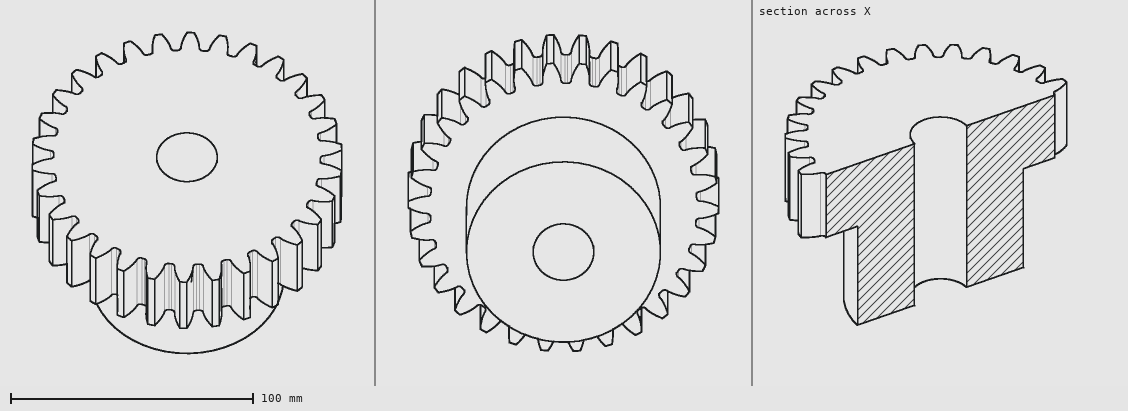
import cadquery as cq
import math

gear_module = 4.0
tooth_count = 30
pressure_angle = 20.0
face_width = 32.0

hub_diameter = 80.0
hub_length = 50.0
bore_diameter = 25.0

addendum = gear_module
dedendum = 1.25 * gear_module
fillet_radius = 0.38 * gear_module
flank_intervals = 6

pitch_radius = gear_module * tooth_count / 2
base_radius = pitch_radius * math.cos(math.radians(pressure_angle))
tip_radius = pitch_radius + addendum
root_radius = pitch_radius - dedendum
total_length = hub_length + face_width

fillet_center_radius = root_radius + fillet_radius
flank_normal_length = math.sqrt(fillet_center_radius**2 - base_radius**2) - fillet_radius
flank_start_radius = math.hypot(base_radius, flank_normal_length)

tooth_pitch_angle = 2 * math.pi / tooth_count
half_tooth_at_pitch = tooth_pitch_angle / 4


def involute_angle(radius):
    """Polar angle swept by the involute between the base circle and a radius."""
    roll = math.sqrt((radius / base_radius) ** 2 - 1)
    return roll - math.atan(roll)


def half_tooth_angle(radius):
    """Half of the angle a tooth fills at a radius on its involute flank."""
    return half_tooth_at_pitch + involute_angle(pitch_radius) - involute_angle(radius)


def polar(radius, angle):
    return (radius * math.cos(angle), radius * math.sin(angle))


def flank_radii():
    """Radii from fillet to tip, closer together near the fillet where the flank curves most."""
    span = tip_radius - flank_start_radius
    return [flank_start_radius + span * (i / flank_intervals) ** 2 for i in range(flank_intervals + 1)]


def root_fillet_points(tooth_angle, side):
    """Root end and middle point of the fillet on one side (-1 or +1) of a tooth."""
    flank_offset = fillet_radius / base_radius - involute_angle(fillet_center_radius)
    center_angle = tooth_angle + side * (half_tooth_angle(base_radius) + flank_offset)
    center_x, center_y = polar(fillet_center_radius, center_angle)
    root_end = polar(root_radius, center_angle)
    flank_end = polar(flank_start_radius, tooth_angle + side * half_tooth_angle(flank_start_radius))
    middle_x = (root_end[0] + flank_end[0]) / 2 - center_x
    middle_y = (root_end[1] + flank_end[1]) / 2 - center_y
    reach = fillet_radius / math.hypot(middle_x, middle_y)
    middle = (center_x + reach * middle_x, center_y + reach * middle_y)
    return root_end, middle


def add_tooth(outline, tooth_angle):
    """Draw one tooth counter-clockwise, then the root arc up to the next tooth."""
    radii = flank_radii()
    rising_flank = [polar(r, tooth_angle - half_tooth_angle(r)) for r in radii]
    falling_flank = [polar(r, tooth_angle + half_tooth_angle(r)) for r in reversed(radii)]
    _, fillet_in = root_fillet_points(tooth_angle, -1)
    root_start, fillet_out = root_fillet_points(tooth_angle, 1)
    next_root_end, _ = root_fillet_points(tooth_angle + tooth_pitch_angle, -1)
    root_middle = polar(root_radius, tooth_angle + tooth_pitch_angle / 2)

    outline = outline.threePointArc(fillet_in, rising_flank[0])
    outline = outline.spline(rising_flank[1:], includeCurrent=True)
    outline = outline.threePointArc(polar(tip_radius, tooth_angle), falling_flank[0])
    outline = outline.spline(falling_flank[1:], includeCurrent=True)
    outline = outline.threePointArc(fillet_out, root_start)
    return outline.threePointArc(root_middle, next_root_end)


def make_toothed_rim():
    """Toothed disc on top of the hub, with one tooth centred on +X."""
    first_point, _ = root_fillet_points(0.0, -1)
    outline = cq.Workplane("XY").workplane(offset=hub_length).moveTo(*first_point)
    for tooth in range(tooth_count):
        outline = add_tooth(outline, tooth * tooth_pitch_angle)
    return outline.close().extrude(face_width)


def make_hub():
    return cq.Workplane("XY").circle(hub_diameter / 2).extrude(hub_length)


def make_bore():
    return cq.Workplane("XY").circle(bore_diameter / 2).extrude(total_length)


result = make_hub().union(make_toothed_rim()).cut(make_bore())